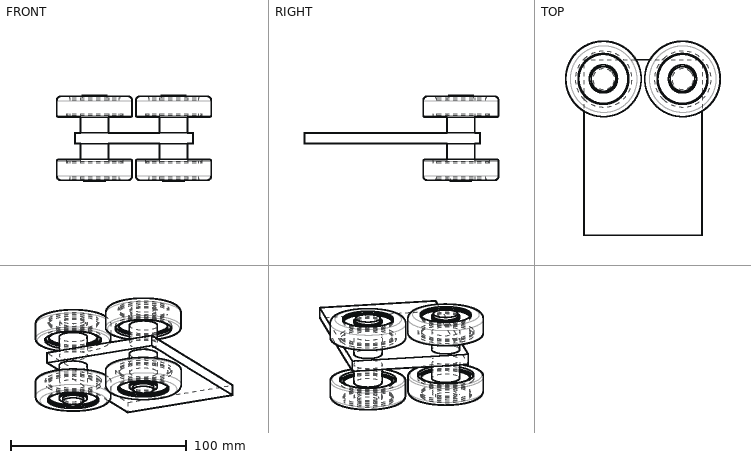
import cadquery as cq

plate_width = 67.2
plate_length = 100.0
plate_thickness = 6.1

overall_width = 88.0
overall_length = 110.5
overall_height = 49.0

wheel_diameter = 43.0
wheel_width = 11.9
wheel_inner_face = 12.0
outer_edge_radius = 2.5
inner_edge_radius = 1.0

step_depth = 1.0
outer_step_diameter = 29.0
recess_diameter = 28.0
recess_depth = 2 * step_depth

bearing_diameter = 32
bearing_edge_radius = 1.0

axle_diameter = 16.0
end_length = 1.5
top_end_diameter = 14.0
bottom_end_diameter = 12.0

wheel_outer_face = wheel_inner_face + wheel_width
axle_x = (overall_width - wheel_diameter) / 2
axle_y = (overall_length - wheel_diameter) / 2
axle_tip = overall_height / 2
shoulder = axle_tip - end_length


def disc(diameter, bottom, top):
    """Cylinder on the Z axis between two levels."""
    return cq.Workplane("XY").workplane(offset=bottom).circle(diameter / 2).extrude(top - bottom)


def make_outer_recess():
    """Cutter for the two-step recess around the axle end."""
    step = disc(outer_step_diameter, wheel_outer_face - step_depth, wheel_outer_face)
    recess = disc(recess_diameter, wheel_outer_face - recess_depth, wheel_outer_face)
    return step.union(recess)


def make_inner_recess():
    """Cutter for the bearing seat, leaving the bearing's rounded outer edge in place."""
    bearing_face = wheel_inner_face + step_depth
    groove_bottom = bearing_face + bearing_edge_radius
    bearing = disc(bearing_diameter, bearing_face, wheel_outer_face)
    bearing = bearing.faces("<Z").edges().fillet(bearing_edge_radius)
    seat = disc(bearing_diameter, wheel_inner_face, groove_bottom).cut(bearing)
    bore = disc(recess_diameter, wheel_inner_face, wheel_inner_face + recess_depth)
    return seat.union(bore)


def make_wheel():
    """Upper wheel, centred on the Z axis, with its outer face up."""
    wheel = disc(wheel_diameter, wheel_inner_face, wheel_outer_face)
    wheel = wheel.faces(">Z").edges().fillet(outer_edge_radius)
    wheel = wheel.faces("<Z").edges().fillet(inner_edge_radius)
    return wheel.cut(make_outer_recess()).cut(make_inner_recess())


def make_axle():
    """Axle along Z with a reduced end above and a smaller one below."""
    body = disc(axle_diameter, -shoulder, shoulder)
    top_end = disc(top_end_diameter, shoulder, axle_tip)
    bottom_end = disc(bottom_end_diameter, -axle_tip, -shoulder)
    return body.union(top_end).union(bottom_end)


def make_wheel_set():
    """One axle carrying a wheel above and a mirrored wheel below the plate."""
    upper_wheel = make_wheel()
    lower_wheel = upper_wheel.mirror("XY")
    return make_axle().union(upper_wheel).union(lower_wheel)


plate = (
    cq.Workplane("XY")
    .box(plate_width, plate_length, plate_thickness)
    .translate((0, (plate_length - overall_length) / 2, 0))
)

result = plate
for x in (-axle_x, axle_x):
    result = result.union(make_wheel_set().translate((x, axle_y, 0)))